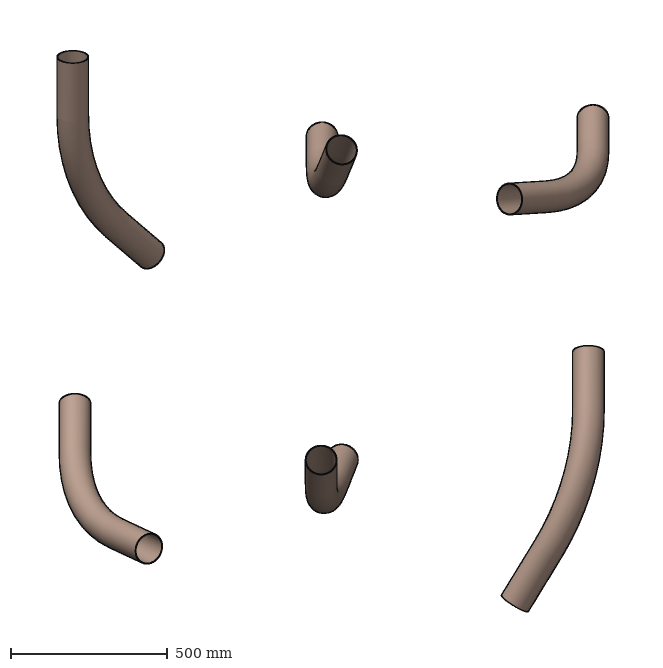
import cadquery as cq
import math

OUTER_DIAMETER = 101.6
INNER_DIAMETER = 95.5
STRAIGHT_LENGTH = 203.2
BEND_RADIUS = 609.6
BEND_ANGLE = 45.0


def bend_point(angle_degrees):
    """Centreline (Y, Z) point at an angle along the bend, which starts at the origin."""
    angle = math.radians(angle_degrees)
    y = BEND_RADIUS * (1 - math.cos(angle))
    z = -BEND_RADIUS * math.sin(angle)
    return y, z


def make_centreline():
    """Vertical leg going down, bend towards +Y, then the inclined leg."""
    bend_end_y, bend_end_z = bend_point(BEND_ANGLE)
    angle = math.radians(BEND_ANGLE)
    lower_end = (
        bend_end_y + STRAIGHT_LENGTH * math.sin(angle),
        bend_end_z - STRAIGHT_LENGTH * math.cos(angle),
    )
    return (
        cq.Workplane("YZ")
        .moveTo(0, STRAIGHT_LENGTH)
        .lineTo(0, 0)
        .threePointArc(bend_point(BEND_ANGLE / 2), (bend_end_y, bend_end_z))
        .lineTo(*lower_end)
    )


def make_tube():
    """Sweep the annular tube section from the upper end along the centreline."""
    return (
        cq.Workplane("XY", origin=(0, 0, STRAIGHT_LENGTH))
        .circle(OUTER_DIAMETER / 2)
        .circle(INNER_DIAMETER / 2)
        .sweep(make_centreline())
    )


result = make_tube()